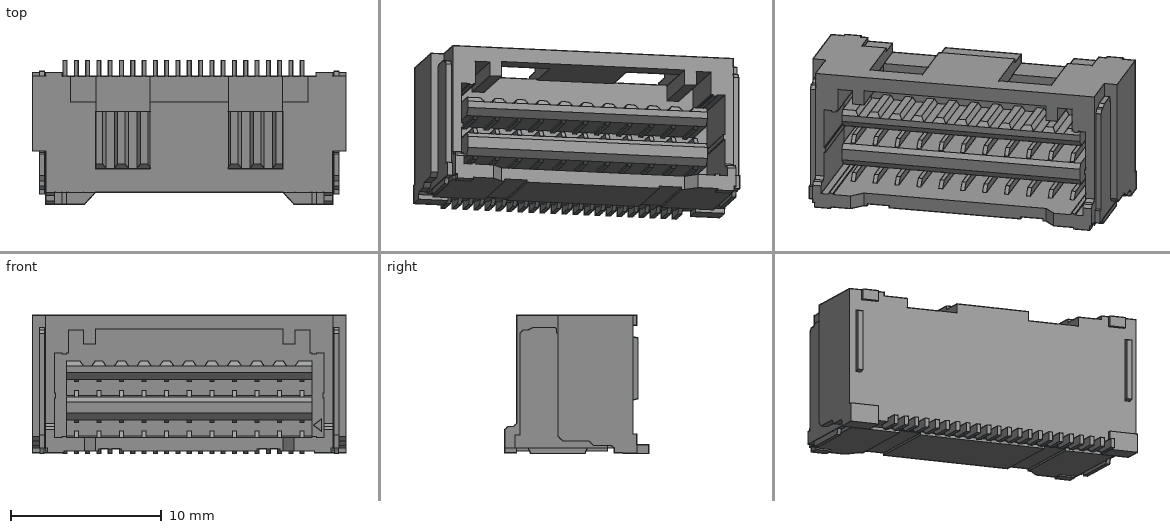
import cadquery as cq


width = 20.8
half_width = width / 2
front_half_width = 9.53
top_z = 9.2
bottom_z = 0.17
back_y = 7.72
shoulder_y = 2.75
underside_step_y = 6.03
underside_step_z = 0.37
flank_corner_z = 1.15
flank_corner_y = 3.05
flank_step_z = 0.85
flank_step_front_y = 4.78
flank_step_back_y = 5.1
flank_heel_z = 0.55
flank_heel_y = 6.28

cavity_back_y = 5.37
cavity_half_width = 8.95
floor_z = 1.06
side_roof_z = 6.68
bay_roof_z = 8.2
main_roof_z = 8.25
bay_outer_x = 8.0
bay_inner_x = 7.0
main_roof_half_width = 6.22
key_bottom_z = 7.25

guide_inner_x = 8.13
guide_width = 0.3
guide_height = 0.08
side_guide_bottom_z = 3.68
side_guide_height = 0.33

tongue_front_y = 1.6
tongue_half_width = 8.13
upper_tongue_bottom_z = 4.93
upper_tongue_top_z = 5.82
lower_tongue_bottom_z = 2.23
lower_tongue_top_z = 3.75
under_chamfer = 0.45
over_chamfer = 0.31
recess_depth = 0.31
recess_lip = 0.1

ridge_height = 0.31
ridge_foot_width = 0.94
ridge_crest_width = 0.5
ridge_front_slope = 0.27

contact_count = 11
contact_pitch = 1.5
contact_width = 0.27
blade_front_y = 2.08
blade_rise_length = 0.42
blade_height = 0.45
upper_contact_height = 0.15
tail_pitch = contact_pitch / 2
tail_count = 2 * contact_count
tail_front_y = 7.07
tail_bevel = 0.37
tail_back_y = 8.75
tail_height = 0.6

window_outer_x = 6.2
window_inner_x = 2.6
window_front_y = 1.55
bridge_z = 8.32
relief_z = 8.95
relief_front_y = 6.01
relief_half_width = 7.88

tab_front_y = -0.8
tab_inner_x = 6.22
tab_chamfer_x = 0.73
tab_wall_top_z = 1.8
tab_wall_chamfer = 0.2
tab_foot_outer_x = 9.4
tab_foot_inner_x = 8.3
foot_z = 0.06

pad_back_y = 7.97
pad_inner_x = 8.4
lower_pad_front_y = 6.47
lower_pad_top_z = 1.3
upper_pad_bottom_z = 8.5

channel_inner_x = 4.5
channel_outer_x = 6.01
channel_z = 0.31

plate_inner_x = 9.59
plate_outer_x = 9.95
plate_bottom_z = 0.37
solder_edge_front_y = 0.77
solder_edge_back_y = 4.68
solder_edge_taper = 0.15
solder_edge_inset = 0.05
plate_top_z = 8.38
plate_front_y = 0.2
plate_toe_y = -0.1
plate_toe_z = 1.25
plate_nose_z = 7.97
plate_nose_y = 0.44
plate_dip_z = 8.22
plate_dip_back_y = 0.77
plate_ramp_back_y = 1.12
plate_crest_back_y = 2.65
plate_crest_bevel = 0.1
plate_root_z = 7.99
plate_rear_back_y = 8.05
plate_rear_bottom_z = 3.55
plate_rear_top_z = 7.75
plate_rear_chamfer = 0.08

mark_tip_x = 8.24
mark_base_x = 8.78
mark_center_z = 1.9
mark_half_height = 0.42
mark_depth = 0.06


def box(x, y, z):
    """Box between the (low, high) limits given for each axis."""
    return cq.Workplane("XY").box(
        x[1] - x[0], y[1] - y[0], z[1] - z[0], centered=False
    ).translate((x[0], y[0], z[0]))


def slab_yz(points, x):
    """Outline of (Y, Z) points extruded between two X limits."""
    return cq.Workplane("YZ").workplane(offset=x[0]).polyline(points).close().extrude(x[1] - x[0])


def both_sides(solid):
    """The solid together with its mirror image across X = 0."""
    return solid.union(solid.mirror("YZ"))


def contact_positions():
    """X of each contact column, centred on the part."""
    return [(i - (contact_count - 1) / 2) * contact_pitch for i in range(contact_count)]


def housing_block():
    """Narrow front block plus the wider rear flanks with their stepped lower edge."""
    core = box((-front_half_width, front_half_width), (0, back_y), (bottom_z, top_z))
    core = core.cut(
        box((-half_width, half_width), (underside_step_y, back_y), (0, underside_step_z))
    )
    flank_outline = [
        (shoulder_y, top_z),
        (shoulder_y, flank_corner_z),
        (flank_corner_y, flank_step_z),
        (flank_step_front_y, flank_step_z),
        (flank_step_back_y, flank_heel_z),
        (flank_heel_y, flank_heel_z),
        (lower_pad_front_y, underside_step_z),
        (back_y, underside_step_z),
        (back_y, top_z),
    ]
    flank = slab_yz(flank_outline, (front_half_width, half_width))
    return core.union(both_sides(flank))


def corner_tabs():
    """Floor extensions at the front corners, with a raised outer wall and a foot."""
    floor = (
        cq.Workplane("XY").workplane(offset=bottom_z)
        .polyline([
            (tab_inner_x, 0),
            (tab_inner_x + tab_chamfer_x, tab_front_y),
            (front_half_width, tab_front_y),
            (front_half_width, 0),
        ])
        .close().extrude(floor_z - bottom_z)
    )
    wall_outline = [
        (0, bottom_z),
        (tab_front_y, bottom_z),
        (tab_front_y, tab_wall_top_z - tab_wall_chamfer),
        (tab_front_y + tab_wall_chamfer, tab_wall_top_z),
        (-tab_wall_chamfer, tab_wall_top_z),
        (0, tab_wall_top_z + tab_wall_chamfer),
    ]
    wall = slab_yz(wall_outline, (cavity_half_width, front_half_width))
    under_gap = box(
        (tab_foot_outer_x, front_half_width), (tab_front_y, 0), (bottom_z, underside_step_z)
    )
    foot = box((tab_foot_inner_x, tab_foot_outer_x), (tab_front_y, 0), (foot_z, floor_z))
    return both_sides(floor.union(wall).cut(under_gap).union(foot))


def rear_pads():
    """Small upper pads and standing lower pads on the back face."""
    upper = box(
        (pad_inner_x, front_half_width), (cavity_back_y, pad_back_y), (upper_pad_bottom_z, top_z)
    )
    lower = box(
        (pad_inner_x, half_width), (lower_pad_front_y, pad_back_y), (foot_z, lower_pad_top_z)
    )
    return both_sides(upper.union(lower))


def cavity():
    """Open mating space: stepped ceiling with two hanging keys."""
    outline = [
        (0, floor_z),
        (cavity_half_width, floor_z),
        (cavity_half_width, side_roof_z),
        (bay_outer_x, side_roof_z),
        (bay_outer_x, bay_roof_z),
        (bay_inner_x, bay_roof_z),
        (bay_inner_x, key_bottom_z),
        (main_roof_half_width, key_bottom_z),
        (main_roof_half_width, main_roof_z),
        (0, main_roof_z),
    ]
    half = cq.Workplane("XZ").polyline(outline).close().extrude(-cavity_back_y)
    return both_sides(half)


def contact_recess(low_z, high_z):
    """Pocket in the back wall of one contact gap, above a low lip."""
    return box(
        (-tongue_half_width, tongue_half_width),
        (cavity_back_y, cavity_back_y + recess_depth),
        (low_z + recess_lip, high_z),
    )


def guide_ribs():
    """Low ribs along the floor, ceiling and side walls of the cavity."""
    guide_x = (guide_inner_x, guide_inner_x + guide_width)
    floor_rib = box(guide_x, (tab_front_y, cavity_back_y), (floor_z, floor_z + guide_height))
    roof_rib = box(guide_x, (0, cavity_back_y), (side_roof_z - guide_height, side_roof_z))
    side_rib = box(
        (cavity_half_width - guide_height, cavity_half_width),
        (0, cavity_back_y),
        (side_guide_bottom_z, side_guide_bottom_z + side_guide_height),
    )
    return both_sides(floor_rib.union(roof_rib).union(side_rib))


def tongue(low_z, high_z, top_chamfer):
    """Cantilevered contact carrier; a zero top chamfer leaves the top edge sharp."""
    outline = [
        (cavity_back_y, low_z),
        (tongue_front_y + under_chamfer, low_z),
        (tongue_front_y, low_z + under_chamfer),
        (tongue_front_y, high_z - top_chamfer),
    ]
    if top_chamfer > 0:
        outline.append((tongue_front_y + top_chamfer, high_z))
    outline.append((cavity_back_y, high_z))
    return slab_yz(outline, (-tongue_half_width, tongue_half_width))


def ridges():
    """Trapezoidal ridges over the contacts; the end ones run out to the tongue ends."""
    crest_z = upper_tongue_top_z + ridge_height
    foot = ridge_foot_width / 2
    crest = ridge_crest_width / 2
    columns = contact_positions()
    bars = cq.Workplane("XY")
    for x in columns:
        left_foot, left_crest = x - foot, x - crest
        right_foot, right_crest = x + foot, x + crest
        if x == columns[0]:
            left_foot = left_crest = -tongue_half_width
        if x == columns[-1]:
            right_foot = right_crest = tongue_half_width
        bar = (
            cq.Workplane("XZ", origin=(0, tongue_front_y, 0))
            .polyline([
                (left_foot, upper_tongue_top_z),
                (right_foot, upper_tongue_top_z),
                (right_crest, crest_z),
                (left_crest, crest_z),
            ])
            .close().extrude(tongue_front_y - cavity_back_y)
        )
        bars = bars.union(bar)
    front_slope = slab_yz(
        [
            (tongue_front_y, upper_tongue_top_z),
            (tongue_front_y + ridge_front_slope, crest_z),
            (tongue_front_y, crest_z),
        ],
        (-tongue_half_width, tongue_half_width),
    )
    return bars.cut(front_slope)


def contact_row(base_z, height):
    """Row of blades with a sloped nose; a negative height hangs them downward."""
    blade_back_y = cavity_back_y + recess_depth
    outline = [
        (blade_front_y, base_z),
        (blade_front_y + blade_rise_length, base_z + height),
        (blade_back_y, base_z + height),
        (blade_back_y, base_z),
    ]
    row = cq.Workplane("XY")
    for x in contact_positions():
        row = row.union(slab_yz(outline, (x - contact_width / 2, x + contact_width / 2)))
    return row


def solder_tails():
    """Row of tails behind the housing at half the contact pitch, the last under the last contact."""
    outline = [
        (tail_front_y, 0),
        (tail_back_y, 0),
        (tail_back_y, tail_height),
        (tail_front_y - tail_bevel, tail_height),
        (tail_front_y - tail_bevel, tail_bevel),
    ]
    last_x = contact_positions()[-1]
    tails = cq.Workplane("XY")
    for i in range(tail_count):
        x = last_x - i * tail_pitch
        tails = tails.union(slab_yz(outline, (x - contact_width / 2, x + contact_width / 2)))
    return tails


def top_openings():
    """Two windows into the cavity, the low bridges behind them and the shallow rear relief."""
    window_x = (window_inner_x, window_outer_x)
    window = box(window_x, (window_front_y, cavity_back_y), (upper_tongue_top_z, top_z))
    bridge = box(window_x, (cavity_back_y, back_y), (bridge_z, top_z))
    relief = box(
        (-relief_half_width, relief_half_width), (relief_front_y, back_y), (relief_z, top_z)
    )
    return both_sides(window.union(bridge)).union(relief)


def underside_channels():
    """Shallow channels running front to back under the floor."""
    return both_sides(box((channel_inner_x, channel_outer_x), (0, back_y), (0, channel_z)))


def hold_down_plates():
    """Upright side plates with a solder edge below and a rear end showing through the back."""
    plate_x = (plate_inner_x, plate_outer_x)
    outline = [
        (underside_step_y, plate_bottom_z),
        (plate_toe_y, plate_bottom_z),
        (plate_toe_y, plate_toe_z),
        (plate_front_y, plate_toe_z),
        (plate_front_y, plate_nose_z),
        (plate_nose_y, plate_dip_z),
        (plate_dip_back_y, plate_dip_z),
        (plate_ramp_back_y, plate_top_z),
        (plate_crest_back_y - plate_crest_bevel, plate_top_z),
        (plate_crest_back_y, plate_top_z - plate_crest_bevel),
        (plate_crest_back_y, plate_root_z),
        (underside_step_y, plate_root_z),
    ]
    plate = slab_yz(outline, plate_x)
    root_z = plate_bottom_z + solder_edge_inset
    edge_outline = [
        (solder_edge_front_y, root_z),
        (solder_edge_front_y, plate_bottom_z),
        (solder_edge_front_y + solder_edge_taper, 0),
        (solder_edge_back_y - solder_edge_taper, 0),
        (solder_edge_back_y, plate_bottom_z),
        (solder_edge_back_y, root_z),
    ]
    edge_x = (plate_inner_x + solder_edge_inset, plate_outer_x - solder_edge_inset)
    plate = plate.union(slab_yz(edge_outline, edge_x))
    rear_outline = [
        (underside_step_y, plate_rear_bottom_z),
        (back_y, plate_rear_bottom_z),
        (plate_rear_back_y, plate_rear_bottom_z + plate_rear_chamfer),
        (plate_rear_back_y, plate_rear_top_z - plate_rear_chamfer),
        (back_y, plate_rear_top_z),
        (underside_step_y, plate_rear_top_z),
    ]
    return both_sides(plate.union(slab_yz(rear_outline, plate_x)))


def pin_one_mark():
    """Shallow triangle sunk into the back wall of the cavity."""
    return (
        cq.Workplane("XZ", origin=(0, cavity_back_y, 0))
        .polyline([
            (mark_tip_x, mark_center_z),
            (mark_base_x, mark_center_z - mark_half_height),
            (mark_base_x, mark_center_z + mark_half_height),
        ])
        .close().extrude(-mark_depth)
    )


housing = housing_block().union(corner_tabs()).union(rear_pads())
housing = housing.cut(cavity()).cut(top_openings()).cut(underside_channels())
housing = housing.cut(contact_recess(lower_tongue_top_z, upper_tongue_bottom_z))
housing = housing.cut(contact_recess(floor_z, lower_tongue_bottom_z))
housing = housing.cut(pin_one_mark())
housing = housing.union(guide_ribs())
housing = housing.union(tongue(lower_tongue_bottom_z, lower_tongue_top_z, over_chamfer))
housing = housing.union(tongue(upper_tongue_bottom_z, upper_tongue_top_z, 0))
housing = housing.union(ridges())

for gap_floor_z, gap_roof_z in (
    (floor_z, lower_tongue_bottom_z),
    (lower_tongue_top_z, upper_tongue_bottom_z),
):
    housing = housing.union(contact_row(gap_floor_z, blade_height))
    housing = housing.union(contact_row(gap_roof_z, -upper_contact_height))

result = housing.union(solder_tails()).union(hold_down_plates())